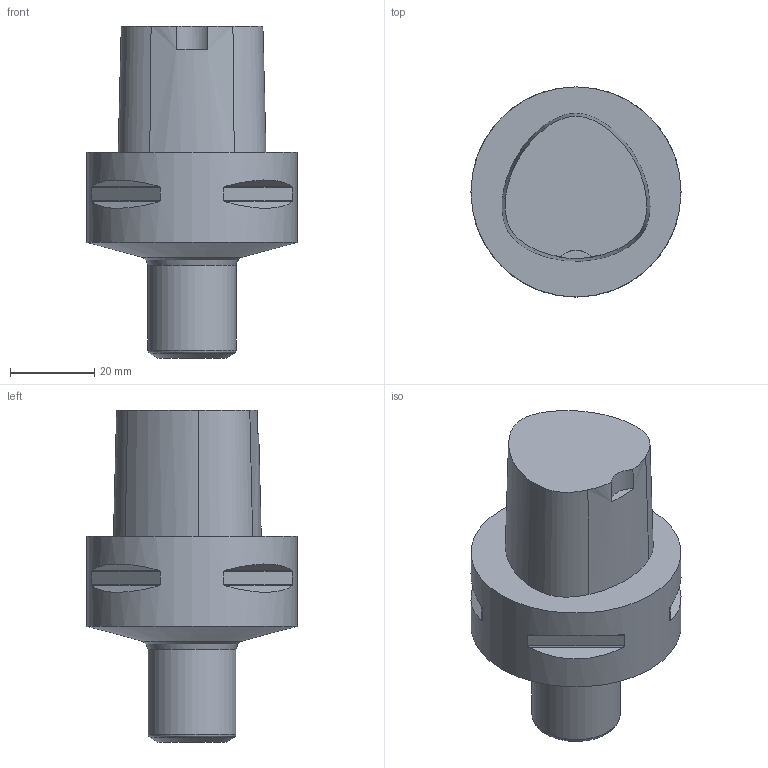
import cadquery as cq
import math

flange_diameter = 50.0
flange_height = 21.5
cone_angle = 15.0
stud_diameter = 21.0
stud_end = -49.0
stud_root_radius = 2.0
stud_end_flat_radius = 8.25
stud_end_cone_angle = 30.0
stud_end_blend_radius = 1.0

shank_height = 30.0
shank_base_diameter = 35.2
shank_taper = 1 / 20
lobe_height = 1.1
lobe_count = 3
corner_half_angle = 35.5
points_per_curve = 9

keyway_depth = 5.5
keyway_radius = 5.0
keyway_back_y = -13.9

groove_count = 4
groove_first_angle = 45.0
groove_floor_distance = 22.2
groove_center_z = -10.0
groove_floor_height = 3.5
groove_side_angle = 30.0
groove_corner_radius = 0.4
groove_overcut = 1.0


def body_edges_at(z):
    """Selector for the circular edges of the body lying at height z."""
    reach = flange_diameter
    tolerance = 0.1
    return cq.selectors.BoxSelector(
        (-reach, -reach, z - tolerance),
        (reach, reach, z + tolerance),
        boundingbox=True,
    )


def make_body():
    """Flange with a conical underside running into a round stud with a blunt cone end."""
    flange_radius = flange_diameter / 2
    stud_radius = stud_diameter / 2
    cone_height = (flange_radius - stud_radius) * math.tan(math.radians(cone_angle))
    cone_end = -flange_height - cone_height
    end_cone_height = (stud_radius - stud_end_flat_radius) * math.tan(math.radians(stud_end_cone_angle))
    end_cone_start = stud_end + end_cone_height
    profile = (
        cq.Workplane("XZ")
        .moveTo(0, 0)
        .lineTo(flange_radius, 0)
        .lineTo(flange_radius, -flange_height)
        .lineTo(stud_radius, cone_end)
        .lineTo(stud_radius, end_cone_start)
        .lineTo(stud_end_flat_radius, stud_end)
        .lineTo(0, stud_end)
        .close()
    )
    body = profile.revolve(360, (0, 0, 0), (0, 1, 0))
    body = body.edges(body_edges_at(cone_end)).fillet(stud_root_radius)
    return body.edges(body_edges_at(end_cone_start)).fillet(stud_end_blend_radius)


def polygon_point(normal_angle, mean_radius):
    """Point of the constant-width lobed outline whose outward normal is at normal_angle."""
    phase = lobe_count * (normal_angle - math.pi / 2)
    reach = mean_radius + lobe_height * math.cos(phase)
    slide = -lobe_count * lobe_height * math.sin(phase)
    x = reach * math.cos(normal_angle) - slide * math.sin(normal_angle)
    y = reach * math.sin(normal_angle) + slide * math.cos(normal_angle)
    return cq.Vector(x, y, 0)


def polygon_curve(start_angle, end_angle, mean_radius, z):
    """One smooth stretch of the lobed outline at height z."""
    step = (end_angle - start_angle) / (points_per_curve - 1)
    angles = [math.radians(start_angle + i * step) for i in range(points_per_curve)]
    points = [polygon_point(angle, mean_radius) + cq.Vector(0, 0, z) for angle in angles]
    ends = (angles[0], angles[-1])
    tangents = [cq.Vector(-math.sin(angle), math.cos(angle), 0) for angle in ends]
    return cq.Edge.makeSpline(points, tangents=tangents)


def polygon_wire(diameter, z):
    """Closed lobed outline: a corner and a flank curve for every lobe."""
    lobe_pitch = 360 / lobe_count
    curves = []
    for lobe in range(lobe_count):
        corner_angle = 90 + lobe * lobe_pitch
        corner_start = corner_angle - corner_half_angle
        corner_end = corner_angle + corner_half_angle
        curves.append(polygon_curve(corner_start, corner_end, diameter / 2, z))
        curves.append(polygon_curve(corner_end, corner_start + lobe_pitch, diameter / 2, z))
    return cq.Wire.assembleEdges(curves)


def make_shank():
    """Solid tapered shank standing on the flange face."""
    top_diameter = shank_base_diameter - shank_height * shank_taper
    base = polygon_wire(shank_base_diameter, 0)
    top = polygon_wire(top_diameter, shank_height)
    return cq.Workplane(cq.Solid.makeLoft([base, top], True))


def make_keyway():
    """Upright cylinder that cuts the keyway into the shank."""
    return (
        cq.Workplane("XY", origin=(0, 0, shank_height - keyway_depth))
        .center(0, keyway_back_y - keyway_radius)
        .circle(keyway_radius)
        .extrude(keyway_depth)
    )


def make_groove(angle):
    """Straight groove with sloping sides and rounded floor corners, facing outward at angle."""
    mouth = flange_diameter / 2 + groove_overcut
    floor_half = groove_floor_height / 2
    rise = (mouth - groove_floor_distance) * math.tan(math.radians(groove_side_angle))
    groove = (
        cq.Workplane("XZ", origin=(0, 0, groove_center_z))
        .moveTo(groove_floor_distance, -floor_half)
        .lineTo(mouth, -floor_half - rise)
        .lineTo(mouth, floor_half + rise)
        .lineTo(groove_floor_distance, floor_half)
        .close()
        .extrude(flange_diameter / 2, both=True)
        .faces("<X")
        .edges("|Y")
        .fillet(groove_corner_radius)
    )
    return groove.rotate((0, 0, 0), (0, 0, 1), angle)


result = make_body().union(make_shank()).cut(make_keyway())
for i in range(groove_count):
    result = result.cut(make_groove(groove_first_angle + i * 360 / groove_count))